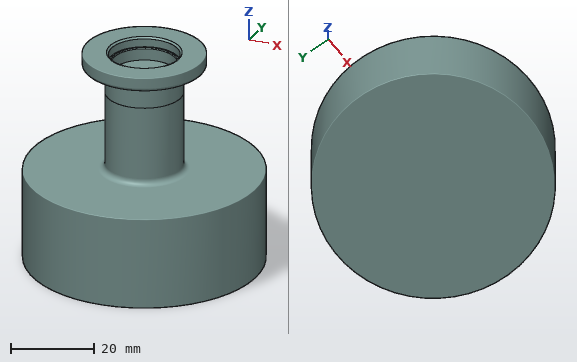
import cadquery as cq
import math

base_diameter = 58.7
base_height = 23.5
edge_round = 0.2
stem_diameter = 19.0
stem_root_fillet = 1.5

total_height = 54.25
flange_diameter = 30.0
collar_height = 10.4
rim_height = 3.35
cone_angle = 12.0
rim_fillet = 0.75
neck_fillet = 0.8

recess_diameter = 17.25
recess_depth = 2.5
recess_chamfer = 0.45
bore_diameter = 16.0
bore_depth = 5.75
bore_chamfer = 0.25

base_radius = base_diameter / 2
stem_radius = stem_diameter / 2
flange_radius = flange_diameter / 2
joint_height = total_height - collar_height


def make_base():
    """Cylindrical base with the solid stem standing on it."""
    base = cq.Workplane("XY").circle(base_radius).extrude(base_height)
    base = base.edges().fillet(edge_round)
    stem = cq.Workplane("XY").workplane(offset=base_height).circle(stem_radius)
    body = base.union(stem.extrude(joint_height - base_height))
    root_edge = cq.selectors.RadiusNthSelector(0)
    return body.faces("<Z[-2]").edges(root_edge).fillet(stem_root_fillet)


def make_flange():
    """Clamp flange with a conical back, a neck, and a stepped blind recess."""
    rim_bottom = total_height - rim_height
    cone_drop = (flange_radius - stem_radius) * math.tan(math.radians(cone_angle))
    neck_top = rim_bottom - cone_drop
    profile = (
        cq.Workplane("XZ")
        .moveTo(0, joint_height)
        .lineTo(stem_radius, joint_height)
        .lineTo(stem_radius, neck_top)
        .lineTo(flange_radius, rim_bottom)
        .lineTo(flange_radius, total_height)
        .lineTo(0, total_height)
        .close()
    )
    flange = profile.revolve(360, (0, 0, 0), (0, 1, 0))
    flange = flange.faces(">Z").edges().fillet(edge_round)
    flange = round_edge(flange, flange_radius, rim_bottom, rim_fillet)
    flange = round_edge(flange, stem_radius, neck_top, neck_fillet)
    return cut_recess(flange)


def round_edge(body, radius, height, fillet_radius):
    """Fillet the circular edge of the given radius at the given height."""
    tolerance = 0.005
    reach = radius + tolerance
    low_corner = (-reach, -reach, height - tolerance)
    high_corner = (reach, reach, height + tolerance)
    edge = cq.selectors.BoxSelector(low_corner, high_corner, boundingbox=True)
    return body.edges(edge).fillet(fillet_radius)


def cut_recess(flange):
    """Cut the centring recess and the narrower blind bore below it, each with a chamfered mouth."""
    flange = cut_chamfered_hole(flange, total_height, recess_diameter, recess_depth, recess_chamfer)
    recess_floor = total_height - recess_depth
    return cut_chamfered_hole(flange, recess_floor, bore_diameter, bore_depth - recess_depth, bore_chamfer)


def cut_chamfered_hole(body, mouth_height, diameter, depth, chamfer):
    """Cut a flat-bottomed hole down from the mouth height, with a 45 degree chamfer at its mouth."""
    radius = diameter / 2
    hole = (
        cq.Workplane("XZ")
        .moveTo(0, mouth_height)
        .lineTo(radius + chamfer, mouth_height)
        .lineTo(radius, mouth_height - chamfer)
        .lineTo(radius, mouth_height - depth)
        .lineTo(0, mouth_height - depth)
        .close()
        .revolve(360, (0, 0, 0), (0, 1, 0))
    )
    return body.cut(hole)


base = make_base()
flange = make_flange()
result = cq.Compound.makeCompound([base.val(), flange.val()])